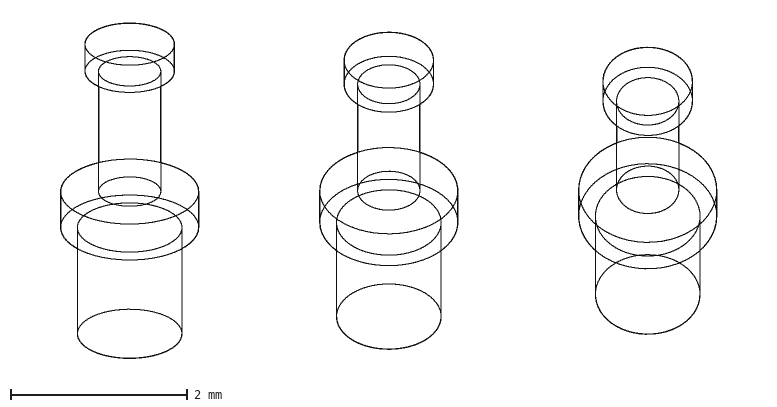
import cadquery as cq

total_height = 3.73
shank_diameter = 1.19
shank_height = 1.37
flange_diameter = 1.57
flange_height = 0.463
neck_diameter = 0.71
head_diameter = 1.02
head_height = 0.35

neck_height = total_height - shank_height - flange_height - head_height

sections = [
    (shank_diameter, shank_height),
    (flange_diameter, flange_height),
    (neck_diameter, neck_height),
    (head_diameter, head_height),
]


def stack_cylinders(sections):
    """Join coaxial cylinders end to end, starting at Z = 0."""
    body = None
    base = 0.0
    for diameter, height in sections:
        cylinder = cq.Workplane("XY").workplane(offset=base).circle(diameter / 2).extrude(height)
        body = cylinder if body is None else body.union(cylinder)
        base += height
    return body


result = stack_cylinders(sections)